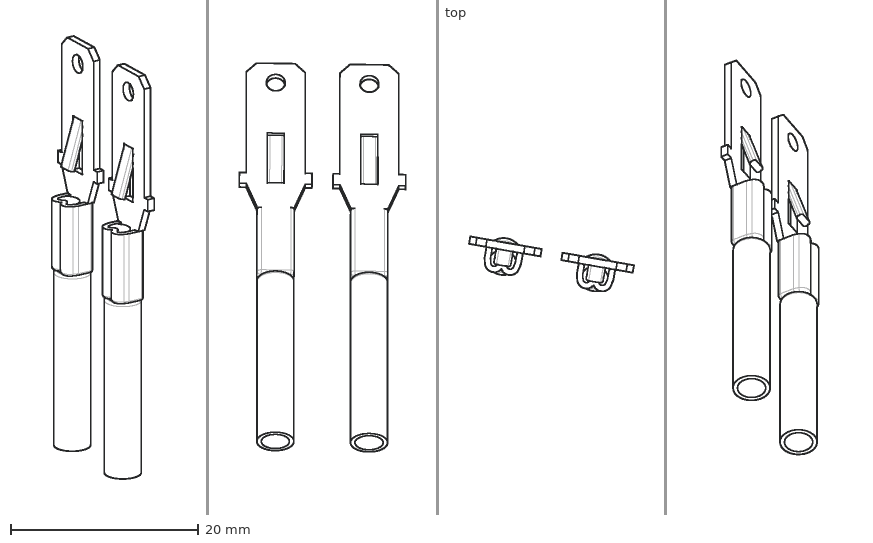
import cadquery as cq
import math

TERMINAL_COUNT = 2
ROW_PITCH = 10.0
ROW_TURN = -10.0

TOTAL_HEIGHT = 45.75
BARREL_BOTTOM = 20.0
BARREL_TOP = 28.0

SHEET = 0.82
BLADE_BACK = 1.5
BLADE_FRONT = BLADE_BACK - SHEET
BLADE_WIDTH = 6.3
TIP_CHAMFER = 1.1
HOLE_DIAMETER = 2.0
HOLE_FROM_TIP = 2.4
STOP_WIDTH = 7.8
STOP_TOP = 32.25
STOP_BOTTOM = 30.9

SLOT_WIDTH = 1.85
SLOT_TOP = 37.15
SLOT_BOTTOM = 31.0
LANCE_LENGTH = 5.67
LANCE_ANGLE = 17.0
LANCE_EDGE_FILLET = 0.27

BARREL_WIDTH = 4.0
BARREL_WALL = 0.65
BARREL_BACK_FILLET = 0.4
BARREL_END_FILLET = 0.3
ARM_END = -0.5
LOBE_RADIUS = 1.0
LOBE_X = 0.85
LOBE_Y = -0.845

JACKET_DIAMETER = 4.0
JACKET_FILLET = 0.27
CORE_DIAMETER = 3.0


def barrel_outline():
    """Closed outline of the crimp: a flat back, two arms and two lobes that meet in a notch."""
    half = BARREL_WIDTH / 2
    to_arm_x = half - LOBE_X
    to_arm_y = ARM_END - LOBE_Y
    arm_distance = math.hypot(to_arm_x, to_arm_y)
    tangent_angle = math.atan2(to_arm_y, to_arm_x) - math.acos(LOBE_RADIUS / arm_distance)
    tangent_x = LOBE_X + LOBE_RADIUS * math.cos(tangent_angle)
    tangent_y = LOBE_Y + LOBE_RADIUS * math.sin(tangent_angle)
    notch_y = LOBE_Y - math.sqrt(LOBE_RADIUS**2 - LOBE_X**2)
    lobe_bottom = LOBE_Y - LOBE_RADIUS
    return (
        cq.Workplane("XY", origin=(0, 0, BARREL_BOTTOM))
        .moveTo(-half, BLADE_BACK)
        .lineTo(half, BLADE_BACK)
        .lineTo(half, ARM_END)
        .lineTo(tangent_x, tangent_y)
        .threePointArc((LOBE_X, lobe_bottom), (0, notch_y))
        .threePointArc((-LOBE_X, lobe_bottom), (-tangent_x, tangent_y))
        .lineTo(-half, ARM_END)
        .close()
    )


def make_cavity():
    """Space inside the crimp, one wall in from its outline and open against the blade sheet."""
    height = BARREL_TOP - BARREL_BOTTOM
    cavity = barrel_outline().offset2D(-BARREL_WALL).extrude(height)
    back_sheet = cq.Workplane("XY").box(BARREL_WIDTH, SHEET, height, centered=(True, False, False))
    return cavity.cut(back_sheet.translate((0, BLADE_FRONT, BARREL_BOTTOM)))


def make_barrel():
    barrel = barrel_outline().extrude(BARREL_TOP - BARREL_BOTTOM)
    barrel = barrel.edges("|Z and >Y").fillet(BARREL_BACK_FILLET)
    barrel = barrel.faces("<Z").edges().fillet(BARREL_END_FILLET)
    return barrel.cut(make_cavity())


def make_blade():
    half = BLADE_WIDTH / 2
    right_side = [
        (half - TIP_CHAMFER, TOTAL_HEIGHT),
        (half, TOTAL_HEIGHT - TIP_CHAMFER),
        (half, STOP_TOP),
        (STOP_WIDTH / 2, STOP_TOP),
        (STOP_WIDTH / 2, STOP_BOTTOM),
        (half, STOP_BOTTOM),
        (BARREL_WIDTH / 2, BARREL_TOP),
    ]
    left_side = [(-x, z) for x, z in reversed(right_side)]
    back_plane = cq.Workplane("XZ", origin=(0, BLADE_BACK, 0))
    blade = back_plane.polyline(right_side + left_side).close().extrude(SHEET)
    hole = back_plane.center(0, TOTAL_HEIGHT - HOLE_FROM_TIP).circle(HOLE_DIAMETER / 2).extrude(SHEET)
    slot_middle = (SLOT_TOP + SLOT_BOTTOM) / 2
    slot = back_plane.center(0, slot_middle).rect(SLOT_WIDTH, SLOT_TOP - SLOT_BOTTOM).extrude(SHEET)
    return blade.cut(hole).cut(slot)


def make_lance():
    """Strip hinged at the front top edge of the slot, its lower end swung out to the front."""
    return (
        cq.Workplane("XY")
        .box(SLOT_WIDTH, SHEET, LANCE_LENGTH, centered=(True, False, False))
        .edges("|Z")
        .fillet(LANCE_EDGE_FILLET)
        .translate((0, 0, -LANCE_LENGTH))
        .rotate((0, 0, 0), (1, 0, 0), -LANCE_ANGLE)
        .translate((0, BLADE_FRONT, SLOT_TOP))
    )


def make_terminal():
    return make_blade().union(make_barrel()).union(make_lance())


def make_core():
    """Conductor: round inside the jacket, pressed to the shape of the crimp above it."""
    strand = cq.Workplane("XY").circle(CORE_DIAMETER / 2).extrude(BARREL_BOTTOM)
    back_round = (
        cq.Workplane("XY", origin=(0, BLADE_FRONT - CORE_DIAMETER / 2, BARREL_BOTTOM))
        .circle(CORE_DIAMETER / 2)
        .extrude(BARREL_TOP - BARREL_BOTTOM)
    )
    return strand.union(make_cavity().intersect(back_round))


def make_jacket():
    jacket = cq.Workplane("XY").circle(JACKET_DIAMETER / 2).extrude(BARREL_BOTTOM)
    jacket = jacket.faces(">Z").edges().fillet(JACKET_FILLET)
    return jacket.cut(cq.Workplane("XY").circle(CORE_DIAMETER / 2).extrude(BARREL_BOTTOM))


def place_in_row(body, index):
    """Solid of a body moved to its place in the turned row."""
    placed = body.translate((index * ROW_PITCH, 0, 0)).rotate((0, 0, 0), (0, 0, 1), ROW_TURN)
    return placed.solids().val()


terminals = []
cores = []
jackets = []
for index in range(TERMINAL_COUNT):
    terminals.append(place_in_row(make_terminal(), index))
    cores.append(place_in_row(make_core(), index))
    jackets.append(place_in_row(make_jacket(), index))

result = cq.Compound.makeCompound([*terminals, *cores, *jackets])